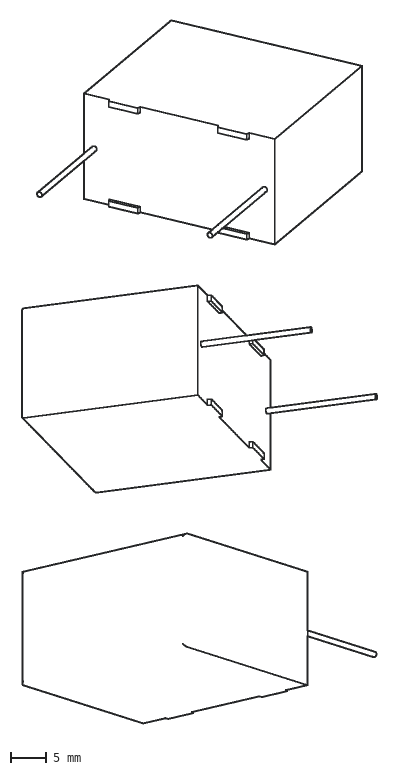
import cadquery as cq


case_width = 30.8
case_height = 16.8
overall_length = 43.3

lead_length = 16.55
lead_diameter = 0.82
lead_spacing = 27.5

case_depth = overall_length - lead_length
back_edge_radius = 0.5

foot_spacing = 17.6
foot_base_width = 5.02
foot_side_inset = 0.17
foot_projection = 0.5
foot_height = 0.9


def make_foot(center_x, bottom_z):
    """Standoff foot with slanted ends, rising from the lead face toward -Y."""
    half_base = foot_base_width / 2
    half_tip = half_base - foot_side_inset
    return (
        cq.Workplane("XY", origin=(center_x, 0, bottom_z))
        .moveTo(-half_base, 0)
        .lineTo(-half_tip, -foot_projection)
        .lineTo(half_tip, -foot_projection)
        .lineTo(half_base, 0)
        .close()
        .extrude(foot_height)
    )


def make_case():
    """Box with a rounded back rim and four feet at the lead face."""
    case = (
        cq.Workplane("XY")
        .box(case_width, case_depth, case_height, centered=(True, False, True))
        .faces(">Y")
        .edges()
        .fillet(back_edge_radius)
    )
    lower_foot_z = -case_height / 2
    upper_foot_z = case_height / 2 - foot_height
    for center_x in (-foot_spacing / 2, foot_spacing / 2):
        for bottom_z in (lower_foot_z, upper_foot_z):
            case = case.union(make_foot(center_x, bottom_z))
    return case


def make_lead(center_x):
    """Round wire lead standing on the lead face."""
    return (
        cq.Workplane("XZ", origin=(center_x, 0, 0))
        .circle(lead_diameter / 2)
        .extrude(lead_length)
    )


case = make_case()
leads = []
for lead_x in (-lead_spacing / 2, lead_spacing / 2):
    leads.append(make_lead(lead_x).val())

result = cq.Compound.makeCompound([case.val(), *leads])